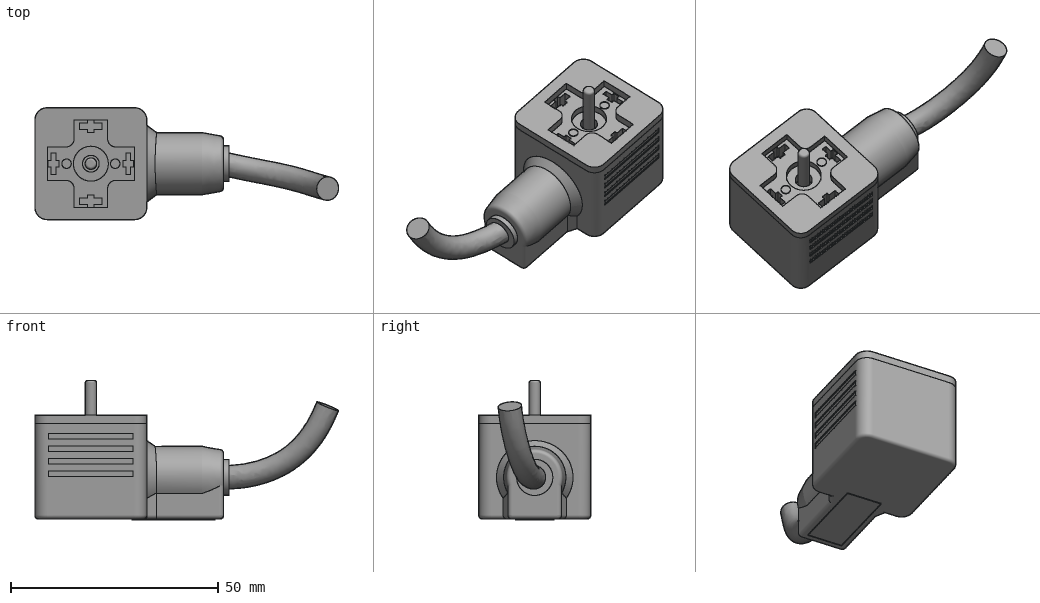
import cadquery as cq
import math

overall_length = 73.25

side = 27.0
corner_radius = 3.0
top_z = 25.05
gasket_thickness = 2.0
deck_z = top_z - gasket_thickness
bottom_fillet = 0.9

cross_span = 21.0
cross_arm_width = 8.05
cross_corner_radius = 2.0

recess_diameter = 8.4
recess_depth = 1.8
bore_diameter = 4.0
bore_depth = 2.9
socket_depth = 2.9
recess_floor_z = deck_z - recess_depth
bore_floor_z = recess_floor_z - bore_depth

screw_diameter = 2.8
screw_projection = 8.35
screw_tip_fillet = 0.6

slot_distance = 9.0
slot_stem_width = 1.55
slot_depth = 4.4
wide_slot = (5.4, 1.55, 3.0)
narrow_slot = (5.2, 1.1, 2.6)

mark_diameter = 2.3
mark_depth = 0.2
mark_distance = 5.85

groove_count = 4
groove_length = 20.4
groove_width = 1.3
groove_pitch = 3.0
groove_depth = 0.3
first_groove_drop = 5.1

outlet_z = 10.0
neck_diameter = 15.0
flare_length = 2.35
flare_root_half_width = 9.2
flare_root_half_height = 8.9
flare_tip_half_height = 7.25
taper_start_x = 26.9
nose_end_x = 32.0
nose_end_radius = 6.6
nose_fillet = 1.0
collar_diameter = 8.7
collar_length = 1.3

block_top_z = 8.35
block_half_width = 6.45
block_root_half_width = 7.6
block_corner_radius = 1.0

pad_start_x = 9.95
pad_end_x = 29.9
pad_width = 9.2
pad_thickness = 0.2

cable_diameter = 5.7
cable_heading = math.radians(-13.4)
cable_end_slope = math.radians(67.3)
cable_middle = (47.4, -3.2, 14.3)
cable_end_y = -6.0
cable_end_z = 27.2

face_x = side / 2
flare_end_x = face_x + flare_length
neck_radius = neck_diameter / 2


def cylinder_down(x, y, z_top, diameter, depth):
    """Upright cylinder that reaches down from z_top."""
    return cq.Workplane("XY", origin=(x, y, z_top - depth)).circle(diameter / 2).extrude(depth)


def rounded_square(z_bottom, height):
    return (
        cq.Workplane("XY", origin=(0, 0, z_bottom))
        .rect(side, side)
        .extrude(height)
        .edges("|Z")
        .fillet(corner_radius)
    )


def make_block():
    """Round-edged block below the outlet, widening towards the housing."""
    block = (
        cq.Workplane("XY")
        .polyline([
            (0, -block_root_half_width),
            (face_x, -block_root_half_width),
            (flare_end_x, -block_half_width),
            (nose_end_x, -block_half_width),
            (nose_end_x, block_half_width),
            (flare_end_x, block_half_width),
            (face_x, block_root_half_width),
            (0, block_root_half_width),
        ])
        .close()
        .extrude(block_top_z)
    )
    block = block.edges("|Z and >X").fillet(block_corner_radius)
    return block.faces("<Z").edges("not(<X)").fillet(bottom_fillet)


def make_neck():
    """Neck with a tapered, rounded nose, as a solid of revolution."""
    neck = (
        cq.Workplane("XY")
        .polyline([
            (0, 0),
            (0, neck_radius),
            (taper_start_x, neck_radius),
            (nose_end_x, nose_end_radius),
            (nose_end_x, 0),
        ])
        .close()
        .revolve(360, (0, 0, 0), (1, 0, 0))
        .faces(">X")
        .edges()
        .fillet(nose_fillet)
    )
    return neck.translate((0, 0, outlet_z))


def make_flare():
    """Elliptical cone between the housing wall and the neck."""
    return (
        cq.Workplane("YZ", origin=(face_x, 0, outlet_z))
        .ellipse(flare_root_half_width, flare_root_half_height)
        .workplane(offset=flare_length)
        .ellipse(neck_radius, flare_tip_half_height)
        .loft()
    )


def make_collar():
    return (
        cq.Workplane("YZ", origin=(nose_end_x - nose_fillet, 0, outlet_z))
        .circle(collar_diameter / 2)
        .extrude(nose_fillet + collar_length)
    )


def make_pad():
    """Thin pad under the housing and the block."""
    pad_length = pad_end_x - pad_start_x
    pad = cq.Workplane("XY").box(pad_length, pad_width, pad_thickness, centered=(False, True, False))
    return pad.translate((pad_start_x, 0, -pad_thickness))


def make_slot(size, angle):
    """Plus-shaped slot cutter in the cross arm at the given angle about Z."""
    bar_length, bar_width, stem_length = size
    plane = cq.Workplane("XY", origin=(slot_distance, 0, deck_z - slot_depth))
    bar = plane.rect(bar_width, bar_length).extrude(slot_depth)
    stem = plane.rect(stem_length, slot_stem_width).extrude(slot_depth)
    return bar.union(stem).rotate((0, 0, 0), (0, 0, 1), angle)


def make_housing():
    housing = rounded_square(0, deck_z).faces("<Z").edges().fillet(bottom_fillet)
    for part in (make_block(), make_neck(), make_flare(), make_collar(), make_pad()):
        housing = housing.union(part)

    housing = housing.cut(cylinder_down(0, 0, deck_z, recess_diameter, recess_depth))
    housing = housing.cut(cylinder_down(0, 0, recess_floor_z, bore_diameter, bore_depth))
    housing = housing.cut(cylinder_down(0, 0, bore_floor_z, screw_diameter, socket_depth))

    for size, angle in ((narrow_slot, 0), (wide_slot, 90), (narrow_slot, 180), (wide_slot, 270)):
        housing = housing.cut(make_slot(size, angle))

    for x in (-mark_distance, mark_distance):
        housing = housing.cut(cylinder_down(x, 0, deck_z, mark_diameter, mark_depth))

    for wall_y in (-side / 2, side / 2):
        for index in range(groove_count):
            groove_z = top_z - first_groove_drop - index * groove_pitch
            groove = cq.Workplane("XY").box(groove_length, 2 * groove_depth, groove_width)
            housing = housing.cut(groove.translate((0, wall_y, groove_z)))
    return housing


def make_gasket():
    """Flat frame with a cross-shaped opening whose inner corners are rounded."""
    plane = cq.Workplane("XY", origin=(0, 0, deck_z))
    opening = plane.rect(cross_span, cross_arm_width).extrude(gasket_thickness)
    opening = opening.union(plane.rect(cross_arm_width, cross_span).extrude(gasket_thickness))
    half_arm = cross_arm_width / 2
    margin = 0.7
    inner_corners = cq.selectors.BoxSelector(
        (-half_arm - margin, -half_arm - margin, deck_z),
        (half_arm + margin, half_arm + margin, top_z),
    )
    opening = opening.edges("|Z").edges(inner_corners).fillet(cross_corner_radius)
    return rounded_square(deck_z, gasket_thickness).cut(opening)


def make_screw():
    screw_top_z = top_z + screw_projection
    length = screw_top_z - bore_floor_z + socket_depth
    return cylinder_down(0, 0, screw_top_z, screw_diameter, length).faces(">Z").fillet(screw_tip_fillet)


def make_cable(housing):
    """Bent cable that starts inside the collar and is trimmed flush with it."""
    radius = cable_diameter / 2

    start_direction = cq.Vector(math.cos(cable_heading), math.sin(cable_heading), 0)
    end_direction = start_direction * math.cos(cable_end_slope) + cq.Vector(0, 0, math.sin(cable_end_slope))

    rim_reach = radius * math.sqrt(1 - end_direction.x ** 2)
    end_x = overall_length - side / 2 - rim_reach

    start = cq.Vector(nose_end_x, 0, outlet_z)
    path = cq.Workplane("XY").spline(
        [start, cq.Vector(*cable_middle), cq.Vector(end_x, cable_end_y, cable_end_z)],
        tangents=[start_direction, end_direction],
    )
    start_plane = cq.Plane(origin=start, xDir=(0, 0, 1), normal=start_direction)
    return cq.Workplane(start_plane).circle(radius).sweep(path).cut(housing)


housing = make_housing()
gasket = make_gasket()
screw = make_screw()
cable = make_cable(housing)

result = cq.Compound.makeCompound([housing.val(), gasket.val(), screw.val(), cable.val()])